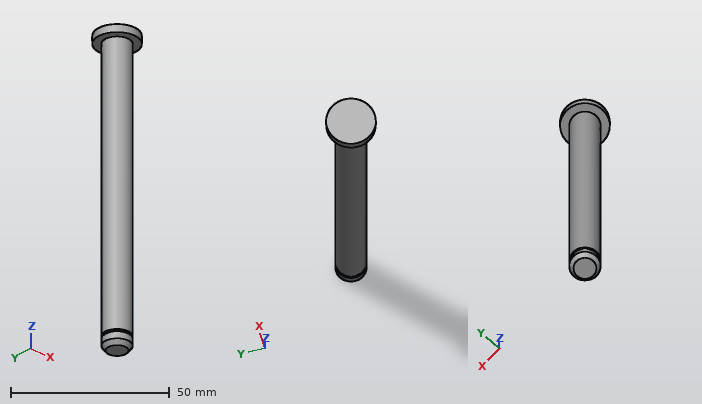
import cadquery as cq

total_length = 113.0
head_diameter = 15.9
head_height = 2.9
rim_bulge = 0.1
shank_diameter = 10.0

groove_bottom = 4.4
groove_width = 0.7
groove_depth = 0.3

taper_height = 1.7
taper_inset = 1.4

head_radius = head_diameter / 2
head_edge_radius = head_radius - rim_bulge
shank_radius = shank_diameter / 2
groove_radius = shank_radius - groove_depth
groove_top = groove_bottom + groove_width
head_underside = total_length - head_height
head_middle = total_length - head_height / 2


def revolved_pin():
    """Headed pin with a barrelled head rim, revolved from its half profile (radius, height) about Z."""
    return (
        cq.Workplane("XZ")
        .lineTo(shank_radius - taper_inset, 0)
        .lineTo(shank_radius, taper_height)
        .lineTo(shank_radius, groove_bottom)
        .lineTo(groove_radius, groove_bottom)
        .lineTo(groove_radius, groove_top)
        .lineTo(shank_radius, groove_top)
        .lineTo(shank_radius, head_underside)
        .lineTo(head_edge_radius, head_underside)
        .threePointArc((head_radius, head_middle), (head_edge_radius, total_length))
        .lineTo(0, total_length)
        .close()
        .revolve(360, (0, 0, 0), (0, 1, 0))
    )


result = revolved_pin()